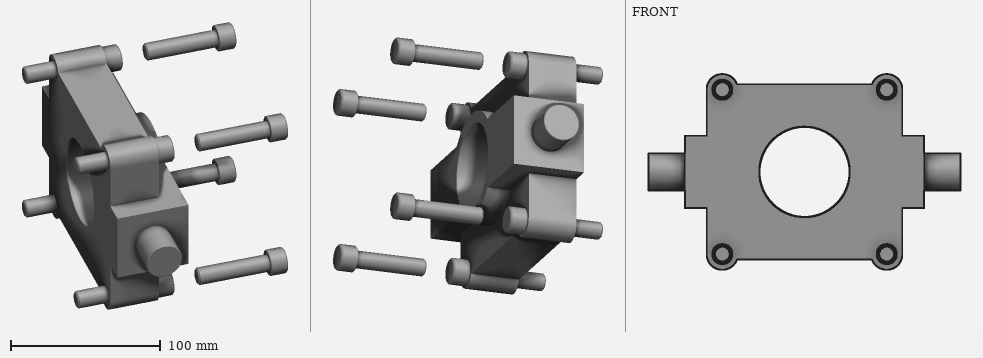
import cadquery as cq

plate_thickness = 34.0
block_depth = 50.2
web_height = 117.5

screw_pitch = 110.0
lug_diameter = 21.1
clearance_diameter = 13.5

hub_diameter = 76.3
bore_diameter = 60.0
bore_chamfer = 0.5
arm_height = 48.5
arm_span = 160.0

trunnion_diameter = 25.0
overall_length = 209.0
trunnion_end_chamfer = 0.5
trunnion_length = (overall_length - arm_span) / 2

shank_diameter = 12.0
head_diameter = 18.0
head_height = 12.0
head_chamfer = 1.0
head_base_chamfer = 0.5
neck_diameter = 11.7
neck_length = 2.3
tip_chamfer = 1.0
seated_screw_length = 55.0
withdrawn_screw_length = 50.0
overall_depth = 147.0

seated_plane = plate_thickness
tip_projection = seated_screw_length - plate_thickness
withdrawn_plane = overall_depth - tip_projection - head_height

half_pitch = screw_pitch / 2
screw_positions = [(x, z) for x in (-half_pitch, half_pitch) for z in (-half_pitch, half_pitch)]


def box_from_front(length, height, depth):
    """Box centred on the bore axis, reaching back from the front face."""
    return cq.Workplane("XY").box(length, depth, height, centered=(True, False, True))


def cylinder_from_front(diameter, depth, centres):
    """Cylinders parallel to Y, reaching back from the front face."""
    plane = cq.Workplane("XZ").pushPoints(centres)
    return plane.circle(diameter / 2).extrude(-depth)


def make_trunnion(side):
    """Round stub on the arm end at the given side (-1 or 1), halfway through the block depth."""
    start = (side * arm_span / 2, block_depth / 2, 0)
    trunnion = cq.Workplane("YZ", origin=start).circle(trunnion_diameter / 2)
    trunnion = trunnion.extrude(side * trunnion_length)
    outer_end = ">X" if side > 0 else "<X"
    return trunnion.faces(outer_end).chamfer(trunnion_end_chamfer)


def make_bore_cutter():
    """Bore with a small chamfer opening it at both ends."""
    radius = bore_diameter / 2
    rim_radius = radius + bore_chamfer
    half_section = [
        (0, 0),
        (rim_radius, 0),
        (radius, bore_chamfer),
        (radius, block_depth - bore_chamfer),
        (rim_radius, block_depth),
        (0, block_depth),
    ]
    return cq.Workplane("XY").polyline(half_section).close().revolve(360, (0, 0), (0, 1))


def make_block():
    """Plate with corner lugs, raised hub and arms, trunnions, bore and screw holes."""
    plate_length = screw_pitch + lug_diameter
    plate = box_from_front(plate_length, screw_pitch, plate_thickness)
    web = box_from_front(screw_pitch, web_height, plate_thickness)
    lugs = cylinder_from_front(lug_diameter, plate_thickness, screw_positions)
    arms = box_from_front(arm_span, arm_height, block_depth)
    hub = cylinder_from_front(hub_diameter, block_depth, [(0, 0)])

    block = plate.union(web).union(lugs).union(arms).union(hub)
    block = block.union(make_trunnion(-1)).union(make_trunnion(1))
    block = block.cut(make_bore_cutter())
    return block.cut(cylinder_from_front(clearance_diameter, plate_thickness, screw_positions))


def make_screw(x, z, under_head_plane, shank_length):
    """Screw along Y with its head behind the under-head plane and its tip towards -Y."""
    seat = cq.Workplane("XZ", origin=(x, under_head_plane, z))
    head = seat.circle(head_diameter / 2).extrude(-head_height)
    head = head.faces(">Y").chamfer(head_chamfer)
    head = head.faces("<Y").chamfer(head_base_chamfer)
    neck = seat.circle(neck_diameter / 2).extrude(neck_length)
    shank = seat.workplane(offset=neck_length).circle(shank_diameter / 2)
    shank = shank.extrude(shank_length - neck_length)
    shank = shank.faces("<Y").chamfer(tip_chamfer)
    return head.union(neck).union(shank)


block = make_block()
seated_screws = [make_screw(x, z, seated_plane, seated_screw_length) for x, z in screw_positions]
withdrawn_screws = [
    make_screw(x, z, withdrawn_plane, withdrawn_screw_length) for x, z in screw_positions
]

screws = seated_screws + withdrawn_screws
result = cq.Compound.makeCompound([block.val(), *[screw.val() for screw in screws]])